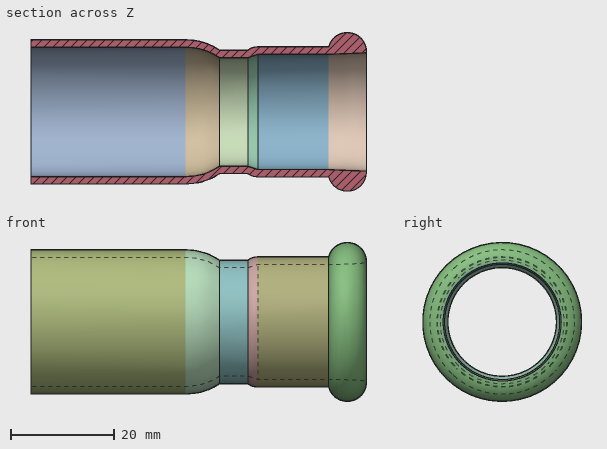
import cadquery as cq
import math

length = 65.0
wall = 1.5

spigot_radius = 28.0 / 2
neck_radius = 24.0 / 2
socket_radius = 25.3 / 2
bead_radius = 30.8 / 2
mouth_radius = 22.9 / 2

spigot_end = 30.0
neck_start = 36.5
neck_end = 42.0
socket_start = 43.95
bead_width = 7.5
bead_round = bead_width / 2
bead_center = length - bead_round
bead_center_radius = bead_radius - bead_round
bead_start = bead_center - math.sqrt(bead_round**2 - (socket_radius - bead_center_radius) ** 2)


def shoulder_middle(start_x, start_r, end_x, end_r):
    """Middle point of an arc that leaves the start parallel to the axis."""
    run = end_x - start_x
    drop = start_r - end_r
    arc_radius = (run**2 + drop**2) / (2 * drop)
    half_angle = math.asin(run / arc_radius) / 2
    return (
        start_x + arc_radius * math.sin(half_angle),
        start_r - arc_radius * (1 - math.cos(half_angle)),
    )


def make_outer():
    """Solid outer form: spigot, curved shoulder, neck, socket and bead."""
    shoulder = shoulder_middle(spigot_end, spigot_radius, neck_start, neck_radius)
    step = shoulder_middle(socket_start, socket_radius, neck_end, neck_radius)
    profile = (
        cq.Workplane("XY")
        .moveTo(0, 0)
        .lineTo(0, spigot_radius)
        .lineTo(spigot_end, spigot_radius)
        .threePointArc(shoulder, (neck_start, neck_radius))
        .lineTo(neck_end, neck_radius)
        .threePointArc(step, (socket_start, socket_radius))
        .lineTo(bead_start, socket_radius)
        .threePointArc((bead_center, bead_radius), (length, bead_center_radius))
        .lineTo(length, 0)
        .close()
    )
    return profile.revolve(360, (0, 0, 0), (1, 0, 0))


def make_bore():
    """Stepped bore that follows the outer form one wall thickness inside."""
    spigot_bore = spigot_radius - wall
    neck_bore = neck_radius - wall
    socket_bore = socket_radius - wall
    shoulder = shoulder_middle(spigot_end, spigot_bore, neck_start, neck_bore)
    profile = (
        cq.Workplane("XY")
        .moveTo(0, 0)
        .lineTo(0, spigot_bore)
        .lineTo(spigot_end, spigot_bore)
        .threePointArc(shoulder, (neck_start, neck_bore))
        .lineTo(neck_end, neck_bore)
        .lineTo(socket_start, socket_bore)
        .lineTo(bead_start, socket_bore)
        .lineTo(length, mouth_radius)
        .lineTo(length, 0)
        .close()
    )
    return profile.revolve(360, (0, 0, 0), (1, 0, 0))


result = make_outer().cut(make_bore())